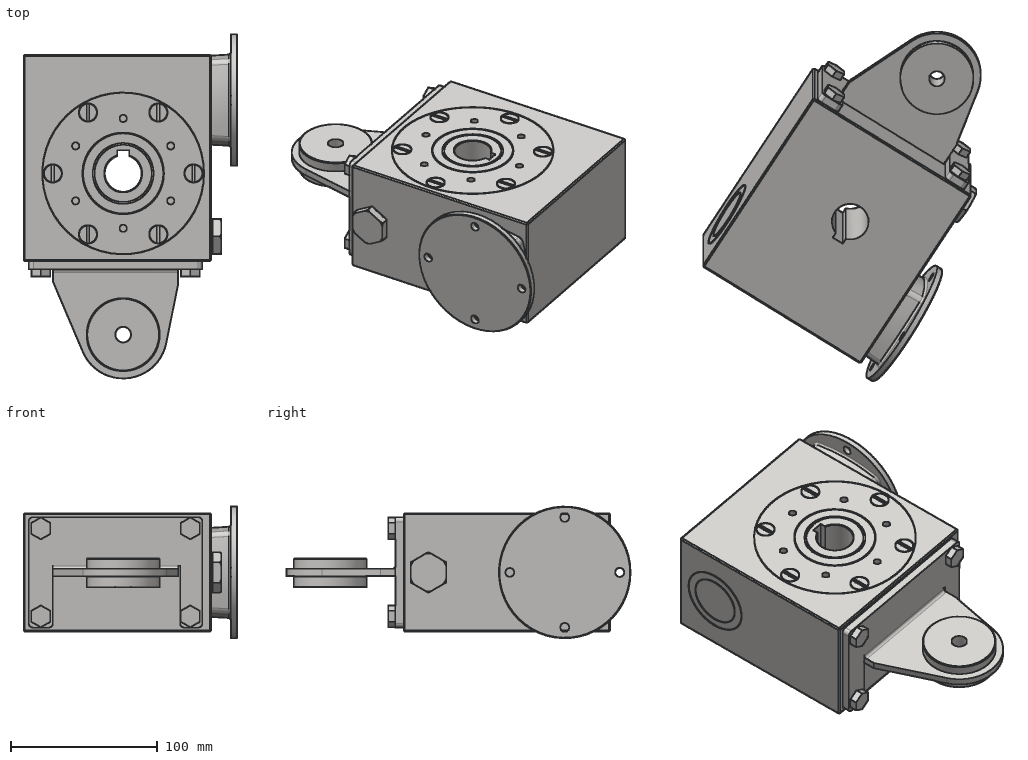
import cadquery as cq
import math


HOUSING_LEFT = -68.0
HOUSING_RIGHT = 60.0
HOUSING_FRONT = -60.0
HOUSING_BACK = 81.0
HOUSING_HEIGHT = 81.0
HOUSING_CHAMFER = 1.0
HOUSING_TOP = HOUSING_HEIGHT / 2
SEAM_WIDTH = 0.3
SEAM_DEPTH = 0.3

COVER_DIAMETER = 110.0
SEAL_DIAMETER = 54.6
SEAL_GAP = 0.6
SHAFT_DIAMETER = 39.0
SHAFT_GAP = 1.3
SHAFT_GAP_DEPTH = 1.0
BORE_DIAMETER = 25.0
BORE_CHAMFER = 0.5
KEY_WIDTH = 8.0
KEY_TOP = 15.8
SCREW_HEAD_DIAMETER = 12.0
SCREW_CIRCLE_RADIUS = 48.0
SCREW_START_ANGLE = 0.0
SCREW_SLOT_WIDTH = 2.0
SCREW_SLOT_DEPTH = 1.0
TAPPED_HOLE_DIAMETER = 4.92
TAPPED_HOLE_DEPTH = 12.0
TAPPED_CIRCLE_RADIUS = 37.5
TAPPED_START_ANGLE = 30.0
HOLES_PER_CIRCLE = 6

INPUT_Y = 50.0
CAP_DIAMETER = 47.0
CAP_CENTRE_DIAMETER = 35.0
FLANGE_DIAMETER = 90.0
FLANGE_THICKNESS = 4.5
FLANGE_FACE_X = 78.0
FLANGE_CHAMFER = 0.5
FLANGE_BACK_X = FLANGE_FACE_X - FLANGE_THICKNESS
FLANGE_HOLE_DIAMETER = 6.0
FLANGE_HOLE_RADIUS = 37.5
FLANGE_HOLES = 4
NECK_REACH = 30.5
NECK_CORNER = 27.0
NECK_CORNER_RADIUS = 5.0
NECK_FLARE = 0.8
NECK_FILLET = 1.5

HEX_SIDES = 6
HEX_POINT_UP = 90.0

PLUG_Y = -43.0
PLUG_ACROSS_FLATS = 24.0
PLUG_COLLAR_DIAMETER = 22.0
PLUG_COLLAR_LENGTH = 1.0
PLUG_HEAD_LENGTH = 6.0
PLUG_CHAMFER = 1.0

BRACKET_X = -5.2
PLATE_WIDTH = 118.5
PLATE_HEIGHT = 75.4
PLATE_THICKNESS = 5.5
PLATE_CORNER_RADIUS = 3.0
PLATE_FRONT = HOUSING_FRONT - PLATE_THICKNESS
ARM_WIDTH = 85.4
ARM_LEFT = BRACKET_X - ARM_WIDTH / 2
ARM_RIGHT = BRACKET_X + ARM_WIDTH / 2
ARM_THICKNESS = 5.0
ARM_TOP = ARM_THICKNESS / 2
ARM_LEFT_STRAIGHT_END = -74.0
ARM_RIGHT_STRAIGHT_END = -76.0
ARM_EYE_RADIUS = 30.0
ARM_EYE_Y = -110.0
BEND_RADIUS = 2.0
RELIEF_WIDTH = 1.3
BUSH_DIAMETER = 50.0
UPPER_BUSH_LENGTH = 7.0
LOWER_BUSH_LENGTH = 7.5
BUSH_CHAMFER = 0.6
BUSH_HOLE_DIAMETER = 10.5

BOLT_ACROSS_CORNERS = 14.95
BOLT_HEAD_LENGTH = 5.0
BOLT_SPACING_X = 102.0
BOLT_SPACING_Z = 60.0


def box_between(x_range, y_range, z_range):
    """Axis-aligned box from its limits."""
    sizes = [limits[1] - limits[0] for limits in (x_range, y_range, z_range)]
    corner = (x_range[0], y_range[0], z_range[0])
    return cq.Workplane("XY").box(*sizes, centered=False).translate(corner)


def rod_x(x, y, diameter, length):
    """Cylinder along +X, starting at x, at mid-height."""
    return cq.Workplane("YZ", origin=(x, y, 0)).circle(diameter / 2).extrude(length)


def rod_down(x, y, z, diameter, length):
    """Cylinder along -Z, starting at z."""
    return cq.Workplane("XY", origin=(x, y, z)).circle(diameter / 2).extrude(-length)


def polar(radius, start_angle):
    """Points evenly spaced on a circle."""
    angles = [math.radians(start_angle + i * 360 / HOLES_PER_CIRCLE) for i in range(HOLES_PER_CIRCLE)]
    return [(radius * math.cos(a), radius * math.sin(a)) for a in angles]


def top_groove(x, y, inner_diameter, width, depth):
    """Ring-shaped groove cutter in the housing top."""
    outer = rod_down(x, y, HOUSING_TOP, inner_diameter + 2 * width, depth)
    return outer.cut(rod_down(x, y, HOUSING_TOP, inner_diameter, depth))


def make_housing():
    body = box_between(
        (HOUSING_LEFT, HOUSING_RIGHT),
        (HOUSING_FRONT, HOUSING_BACK),
        (-HOUSING_TOP, HOUSING_TOP),
    )
    return body.edges().chamfer(HOUSING_CHAMFER)


def cut_cover(body):
    """Cover and seal seams, slotted screws and tapped holes on the top."""
    body = body.cut(top_groove(0, 0, COVER_DIAMETER, SEAM_WIDTH, SEAM_DEPTH))
    body = body.cut(top_groove(0, 0, SEAL_DIAMETER, SEAL_GAP, SEAM_DEPTH))
    body = body.cut(top_groove(0, 0, SHAFT_DIAMETER, SHAFT_GAP, SHAFT_GAP_DEPTH))
    for x, y in polar(SCREW_CIRCLE_RADIUS, SCREW_START_ANGLE):
        body = body.cut(top_groove(x, y, SCREW_HEAD_DIAMETER, SEAM_WIDTH, SEAM_DEPTH))
        head = rod_down(x, y, HOUSING_TOP, SCREW_HEAD_DIAMETER, SCREW_SLOT_DEPTH)
        slot = box_between(
            (x - SCREW_SLOT_WIDTH / 2, x + SCREW_SLOT_WIDTH / 2),
            (y - SCREW_HEAD_DIAMETER, y + SCREW_HEAD_DIAMETER),
            (0, HOUSING_TOP),
        )
        body = body.cut(head.intersect(slot))
    for x, y in polar(TAPPED_CIRCLE_RADIUS, TAPPED_START_ANGLE):
        body = body.cut(rod_down(x, y, HOUSING_TOP, TAPPED_HOLE_DIAMETER, TAPPED_HOLE_DEPTH))
    return body


def cut_bore(body):
    """Through bore with its keyway."""
    bore = rod_down(0, 0, HOUSING_TOP, BORE_DIAMETER, HOUSING_HEIGHT)
    bore_radius = BORE_DIAMETER / 2
    mouth = cq.Workplane("XY").add(
        cq.Solid.makeCone(
            bore_radius,
            bore_radius + BORE_CHAMFER,
            BORE_CHAMFER,
            pnt=cq.Vector(0, 0, HOUSING_TOP - BORE_CHAMFER),
        )
    )
    keyway = box_between((-KEY_WIDTH / 2, KEY_WIDTH / 2), (0, KEY_TOP), (-HOUSING_TOP, HOUSING_TOP))
    return body.cut(bore).cut(mouth).cut(keyway)


def cut_end_cap(body):
    """Seams of the round cap closing the input bore on the left."""
    for diameter in (CAP_DIAMETER, CAP_CENTRE_DIAMETER):
        ring = rod_x(HOUSING_LEFT, INPUT_Y, diameter, SEAM_DEPTH)
        core = rod_x(HOUSING_LEFT, INPUT_Y, diameter - 2 * SEAM_WIDTH, SEAM_DEPTH)
        body = body.cut(ring.cut(core))
    return body


def draw_bulged_square(plane, reach, corner):
    """Square with outward-curved sides around the plane's origin."""
    return (
        plane.moveTo(corner, -corner)
        .threePointArc((reach, 0), (corner, corner))
        .threePointArc((0, reach), (-corner, corner))
        .threePointArc((-reach, 0), (-corner, -corner))
        .threePointArc((0, -reach), (corner, -corner))
        .close()
    )


def make_motor_flange():
    """Drafted neck blended into the round flange with its bolt holes."""
    neck = cq.Workplane("YZ", origin=(HOUSING_RIGHT, INPUT_Y, 0))
    neck = draw_bulged_square(neck, NECK_REACH, NECK_CORNER)
    neck = neck.workplane(offset=FLANGE_BACK_X - HOUSING_RIGHT)
    neck = draw_bulged_square(neck, NECK_REACH + NECK_FLARE, NECK_CORNER + NECK_FLARE).loft(ruled=True)
    neck = neck.edges("not(<X or >X)").fillet(NECK_CORNER_RADIUS)
    disc = rod_x(FLANGE_BACK_X, INPUT_Y, FLANGE_DIAMETER, FLANGE_THICKNESS)
    disc = (
        disc.faces(">X")
        .chamfer(FLANGE_CHAMFER)
        .faces(">X")
        .workplane(origin=(FLANGE_FACE_X, INPUT_Y, 0))
        .polarArray(FLANGE_HOLE_RADIUS, 0, 360, FLANGE_HOLES)
        .hole(FLANGE_HOLE_DIAMETER)
    )
    flange = neck.union(disc)
    neck_top = (FLANGE_BACK_X, INPUT_Y, NECK_REACH + NECK_FLARE)
    return flange.edges(cq.selectors.NearestToPointSelector(neck_top)).fillet(NECK_FILLET)


def make_plug():
    """Hexagonal plug head with chamfered corners on a round collar."""
    across_corners = PLUG_ACROSS_FLATS / math.cos(math.pi / HEX_SIDES)
    collar = rod_x(HOUSING_RIGHT, PLUG_Y, PLUG_COLLAR_DIAMETER, PLUG_COLLAR_LENGTH)
    head_start = HOUSING_RIGHT + PLUG_COLLAR_LENGTH
    head = (
        cq.Workplane("YZ", origin=(head_start, PLUG_Y, 0))
        .transformed(rotate=(0, 0, HEX_POINT_UP))
        .polygon(HEX_SIDES, across_corners)
        .extrude(PLUG_HEAD_LENGTH)
    )
    envelope = rod_x(head_start, PLUG_Y, across_corners, PLUG_HEAD_LENGTH)
    envelope = envelope.faces(">X").chamfer(PLUG_CHAMFER)
    return collar.union(head.intersect(envelope))


def tangent_point(x, y, side):
    """Point where the line from (x, y) touches the arm eye; side is -1 left, +1 right."""
    dx = x
    dy = y - ARM_EYE_Y
    distance = math.hypot(dx, dy)
    angle = math.atan2(dy, dx) - side * math.acos(ARM_EYE_RADIUS / distance)
    return (ARM_EYE_RADIUS * math.cos(angle), ARM_EYE_Y + ARM_EYE_RADIUS * math.sin(angle))


def make_plate():
    """Mounting plate with two legs beside the bent-out arm."""
    plate_bottom = -PLATE_HEIGHT / 2
    left = BRACKET_X - PLATE_WIDTH / 2
    right = BRACKET_X + PLATE_WIDTH / 2
    depth = (PLATE_FRONT, HOUSING_FRONT)
    plate = box_between((left, right), depth, (plate_bottom, PLATE_HEIGHT / 2))
    opening = box_between(
        (ARM_LEFT, ARM_RIGHT + RELIEF_WIDTH),
        depth,
        (plate_bottom, ARM_TOP + BEND_RADIUS),
    )
    plate = plate.cut(opening)
    return plate.edges("|Y and (<Z or >Z)").fillet(PLATE_CORNER_RADIUS)


def make_bush(bottom, length):
    """Bush disc, chamfered on its upper rim."""
    bush = rod_down(0, ARM_EYE_Y, bottom + length, BUSH_DIAMETER, length)
    return bush.faces(">Z").chamfer(BUSH_CHAMFER)


def make_arm():
    """Tapered arm with a round eye, its bend into the plate and the two bushes."""
    outline = (
        cq.Workplane("XY", origin=(0, 0, -ARM_TOP))
        .moveTo(ARM_LEFT, HOUSING_FRONT)
        .lineTo(ARM_LEFT, ARM_LEFT_STRAIGHT_END)
        .lineTo(*tangent_point(ARM_LEFT, ARM_LEFT_STRAIGHT_END, -1))
        .threePointArc(
            (0, ARM_EYE_Y - ARM_EYE_RADIUS),
            tangent_point(ARM_RIGHT, ARM_RIGHT_STRAIGHT_END, 1),
        )
        .lineTo(ARM_RIGHT, ARM_RIGHT_STRAIGHT_END)
        .lineTo(ARM_RIGHT, HOUSING_FRONT)
        .close()
    )
    arm = outline.extrude(ARM_THICKNESS)
    bend_y = PLATE_FRONT - BEND_RADIUS
    bend_z = ARM_TOP + BEND_RADIUS
    bend = box_between((ARM_LEFT, ARM_RIGHT), (bend_y, HOUSING_FRONT), (ARM_TOP, bend_z))
    hollow = (
        cq.Workplane("YZ", origin=(ARM_LEFT, bend_y, bend_z))
        .circle(BEND_RADIUS)
        .extrude(ARM_RIGHT - ARM_LEFT)
    )
    upper_bush = make_bush(ARM_TOP, UPPER_BUSH_LENGTH)
    lower_bush = make_bush(-ARM_TOP - LOWER_BUSH_LENGTH, LOWER_BUSH_LENGTH)
    arm = arm.union(bend.cut(hollow)).union(upper_bush).union(lower_bush)
    return arm.faces(">Z").workplane(origin=(0, ARM_EYE_Y, 0)).hole(BUSH_HOLE_DIAMETER)


def make_bolts():
    """Four hexagonal bolt heads on the plate, corners pointing up and down."""
    return (
        cq.Workplane("XZ", origin=(BRACKET_X, PLATE_FRONT, 0))
        .transformed(rotate=(0, 0, HEX_POINT_UP))
        .rect(BOLT_SPACING_Z, BOLT_SPACING_X, forConstruction=True)
        .vertices()
        .polygon(HEX_SIDES, BOLT_ACROSS_CORNERS)
        .extrude(BOLT_HEAD_LENGTH)
    )


housing = make_housing()
housing = cut_cover(housing)
housing = cut_bore(housing)
housing = cut_end_cap(housing)

result = (
    housing.union(make_motor_flange())
    .union(make_plug())
    .union(make_plate())
    .union(make_arm())
    .union(make_bolts())
)